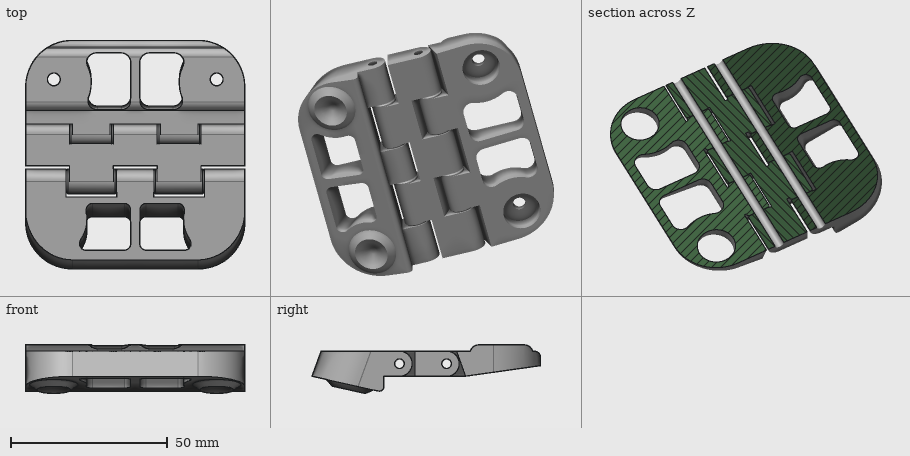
import cadquery as cq
import math


width = 70.0
thickness = 8.0
half_thickness = thickness / 2
hinge_spacing = 15.0
front_axis_y = -hinge_spacing
pin_hole_diameter = 3.0
corner_radius = 14.95
tall = 43.8

finger_pitch = width / 5
knuckle_centers = [-finger_pitch, finger_pitch]
side_step = 0.5
link_arm_width = finger_pitch
plate_arm_width = link_arm_width - 4 * side_step
leaf_slot_width = link_arm_width + 4 * side_step

rear_wall_top = 3.2
rear_wall_bottom = 6.05
link_slot_top = 3.0
link_slot_bottom = link_slot_top + rear_wall_bottom - rear_wall_top
front_wall_offset = 4.95

plate_end_y = 30.0
plate_tilt = 8.0
plate_edge_radius = 2.0
pad_center_y = 17.5
pad_length = 20.0
pad_height = 2.05
pad_edge_radius = 3.0
screw_x = 26.0
screw_hole_diameter = 4.0
screw_recess_radius = 6.0
screw_web = 2.2

leaf_tilt = 20.0
leaf_top_length = 25.0
sole_tilt = 12.6
heel_radius = 1.45

foot_center_offset = 15.85
foot_base_radius = 7.7
foot_rim_radius = 5.3
foot_height = 1.7

rib_half_width = 1.45
plate_window_front = 9.05
plate_window_length = 18.0
plate_window_corner = 3.0
plate_window_bulge = 12.0
leaf_window_length = 14.0
leaf_front_rail = 2.9
leaf_window_corner = 2.05
leaf_window_bulge = 10.6


def tangent(degrees):
    return math.tan(math.radians(degrees))


def tilted_plane(y, z, degrees):
    """Plane through (0, y, z) whose normal leans from +Z toward +Y by the angle."""
    angle = math.radians(degrees)
    normal = (0, math.sin(angle), math.cos(angle))
    return cq.Plane(origin=(0, y, z), xDir=(1, 0, 0), normal=normal)


def side_extrusion(outline):
    """Extrude a closed (Y, Z) outline across the full width."""
    return outline.close().extrude(width / 2, both=True)


def block(x_center, x_size, y_min, y_max):
    """Block of the hinge thickness, centred on Z = 0."""
    middle = (x_center, (y_min + y_max) / 2, 0)
    return cq.Workplane("XY").box(x_size, y_max - y_min, thickness).translate(middle)


def barrel(x_center, length, y, radius=half_thickness):
    """Cylinder along X on a hinge axis."""
    start = cq.Workplane("YZ", origin=(x_center - length / 2, 0, 0))
    return start.center(y, 0).circle(radius).extrude(length)


def knuckle(x_center, arm_width, y, y_root):
    """Arm from y_root to the axis at y, with a wider barrel that has conical ends."""
    arm = block(x_center, arm_width, min(y, y_root), max(y, y_root))
    barrel_length = arm_width + 4 * side_step
    rounded = barrel(x_center, barrel_length, y).faces("<X or >X").chamfer(side_step)
    return arm.union(rounded)


def pin_hole(y):
    return barrel(0, width, y, pin_hole_diameter / 2)


def window_cutters(plane, y_low, length, bulge_y, bulge_radius, corner):
    """Pair of window prisms normal to the plane, each with an arc round the screw or foot."""
    y_high = y_low + length

    def arc_x(y):
        return screw_x - math.sqrt(bulge_radius**2 - (y - bulge_y) ** 2)

    right = (
        cq.Workplane("XY")
        .moveTo(rib_half_width, y_low)
        .lineTo(arc_x(y_low), y_low)
        .threePointArc((screw_x - bulge_radius, bulge_y), (arc_x(y_high), y_high))
        .lineTo(rib_half_width, y_high)
        .close()
        .extrude(tall / 2, both=True)
        .edges("|Z")
        .fillet(corner)
    )
    left = right.mirror("YZ")
    return [side.val().moved(plane.location) for side in (right, left)]


def make_rear_plate():
    pad_rear = pad_center_y + pad_length / 2
    pad_front = pad_center_y - pad_length / 2
    pad_top = half_thickness + pad_height
    drop = pad_edge_radius - pad_height
    arc_run = math.sqrt(pad_edge_radius**2 - drop**2)
    end_bottom = -half_thickness + (plate_end_y - rear_wall_bottom) * tangent(plate_tilt)
    outline = (
        cq.Workplane("YZ")
        .moveTo(rear_wall_top, half_thickness)
        .lineTo(rear_wall_bottom, -half_thickness)
        .lineTo(plate_end_y, end_bottom)
        .lineTo(plate_end_y, half_thickness - plate_edge_radius)
        .radiusArc((plate_end_y - plate_edge_radius, half_thickness), -plate_edge_radius)
        .lineTo(pad_rear, half_thickness)
        .radiusArc((pad_rear - arc_run, pad_top), -pad_edge_radius)
        .lineTo(pad_front + arc_run, pad_top)
        .radiusArc((pad_front, half_thickness), -pad_edge_radius)
    )
    body = side_extrusion(outline)

    trim = (
        cq.Workplane("XY")
        .rect(width, 2 * plate_end_y)
        .extrude(tall / 2, both=True)
        .edges("|Z")
        .fillet(corner_radius)
    )
    body = body.intersect(trim)

    plane = tilted_plane(rear_wall_bottom, -half_thickness, -plate_tilt)
    lean = math.cos(math.radians(plate_tilt))
    low = (plate_window_front - rear_wall_bottom) / lean
    bulge_y = (pad_center_y - rear_wall_bottom) / lean
    windows = window_cutters(
        plane, low, plate_window_length, bulge_y, plate_window_bulge, plate_window_corner
    )
    for window in windows:
        body = body.cut(cq.Workplane(window))

    screw_points = [(-screw_x, pad_center_y), (screw_x, pad_center_y)]
    holes = (
        cq.Workplane("XY")
        .pushPoints(screw_points)
        .circle(screw_hole_diameter / 2)
        .extrude(pad_top)
    )
    recesses = (
        cq.Workplane(tilted_plane(pad_center_y, pad_top - screw_web, -plate_tilt))
        .pushPoints([(-screw_x, 0), (screw_x, 0)])
        .circle(screw_recess_radius)
        .extrude(-tall)
    )
    body = body.cut(holes).cut(recesses)

    for x in knuckle_centers:
        body = body.union(knuckle(x, plate_arm_width, 0, rear_wall_bottom))
    return body.cut(pin_hole(0))


def make_link():
    front_wall = front_axis_y + front_wall_offset
    body = block(0, width, front_wall, 0).union(barrel(0, width, 0))

    slot = (
        cq.Workplane("YZ")
        .moveTo(half_thickness, half_thickness)
        .lineTo(-link_slot_top, half_thickness)
        .lineTo(-link_slot_bottom, -half_thickness)
        .lineTo(half_thickness, -half_thickness)
        .close()
        .extrude(finger_pitch / 2, both=True)
    )
    for x in knuckle_centers:
        body = body.cut(slot.translate((x, 0, 0)))
        body = body.union(knuckle(x, link_arm_width, front_axis_y, front_wall))
    return body.cut(pin_hole(0)).cut(pin_hole(front_axis_y))


def add_foot(body, base):
    """Add a conical foot square to the underside, with a pointed socket as steep as its flank."""
    angle = math.radians(sole_tilt)
    outward = cq.Vector(0, -math.sin(angle), -math.cos(angle))
    rim = base + outward * foot_height
    socket_depth = foot_rim_radius * foot_height / (foot_base_radius - foot_rim_radius)
    foot = cq.Solid.makeCone(foot_base_radius, foot_rim_radius, foot_height, base, outward)
    socket = cq.Solid.makeCone(foot_rim_radius, 0, socket_depth, rim, outward * -1)
    return body.union(cq.Workplane(foot)).cut(cq.Workplane(socket))


def make_front_leaf():
    step_y = front_axis_y - front_wall_offset
    tip_y = front_axis_y - leaf_top_length - thickness * tangent(leaf_tilt)
    heel_z = -half_thickness - (step_y - tip_y) * tangent(sole_tilt)
    outline = (
        cq.Workplane("YZ")
        .moveTo(front_axis_y, half_thickness)
        .lineTo(front_axis_y - leaf_top_length, half_thickness)
        .lineTo(tip_y, -half_thickness)
        .lineTo(step_y, heel_z)
        .lineTo(step_y, -half_thickness)
        .lineTo(front_axis_y, -half_thickness)
    )
    body = side_extrusion(outline).edges("|X and <Z").fillet(heel_radius)
    body = body.union(barrel(0, width, front_axis_y))

    plane = tilted_plane(front_axis_y, half_thickness, leaf_tilt)
    lean = math.cos(math.radians(leaf_tilt))
    front_edge = -leaf_top_length * lean
    trim = (
        cq.Workplane(plane)
        .rect(width, -2 * front_edge)
        .extrude(tall / 2, both=True)
        .edges(cq.selectors.ParallelDirSelector(plane.zDir))
        .fillet(corner_radius)
    )
    body = body.intersect(trim)

    foot_y = front_axis_y - foot_center_offset
    foot_z = -half_thickness - (foot_y - tip_y) * tangent(sole_tilt)
    low = front_edge + leaf_front_rail
    bulge_y = plane.toLocalCoords(cq.Vector(0, foot_y, foot_z)).y
    windows = window_cutters(
        plane, low, leaf_window_length, bulge_y, leaf_window_bulge, leaf_window_corner
    )
    for window in windows:
        body = body.cut(cq.Workplane(window))

    for x in knuckle_centers:
        body = body.cut(block(x, leaf_slot_width, step_y, front_axis_y + thickness))

    for x in (-screw_x, screw_x):
        body = add_foot(body, cq.Vector(x, foot_y, foot_z))
    return body.cut(pin_hole(front_axis_y))


rear_plate = make_rear_plate()
link = make_link()
front_leaf = make_front_leaf()

result = cq.Compound.makeCompound([rear_plate.val(), link.val(), front_leaf.val()])